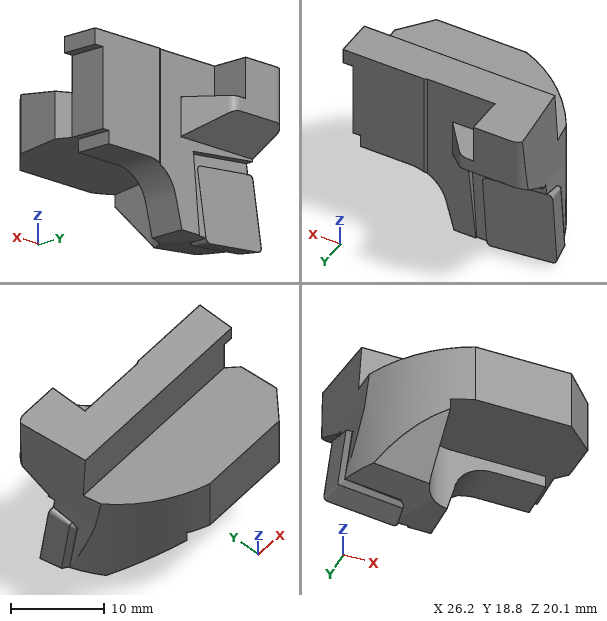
import cadquery as cq
import math

LENGTH = 26.25
DEPTH = 18.8
HEIGHT = 20.05
TRIM_SIZE = 104.95

WALL_FRONT_Y = 9.75
WALL_BACK_Y = 14.17
PAD_BACK_Y = 14.33
PAD_START_X = 15.9
PAD_FULL_X = 16.22
NOTCH_X = 25.03
OVERHANG_Z = 18.2

HEAD_LEFT_X = 1.29
HEAD_TOP_RIGHT_X = 7.53
HEAD_ARC_RIGHT_X = 8.35
HEAD_FOOT_X = 12.78
HEAD_RADIUS = 1.6
HEAD_BOTTOM_Z = 13.8
HEAD_SLOPE = 32.0

FLANGE_LEFT_X = 1.05
FLANGE_FRONT_X = 11.75
FLANGE_TOP_Z = 15.4
FLANGE_BOTTOM_Z = 7.9
TOP_SLOPE = 8.0
BOTTOM_SLOPE = 6.4
FRONT_CHAMFER = 3.3
REAR_CHAMFER_Y = 1.36
SWEEP_MID = (5.25, 4.05)
SWEEP_END_Y = 10.6

BLADE_END_X = 9.3
BLADE_TOP_Z = 11.8
BLADE_BOTTOM_Z = 0.5
BLADE_FOOT_X = 12.6
SCOOP_RADIUS = 3.65
WEB_BOTTOM_Z = 7.5
WEB_ARC_X = 17.9
WEB_ARC_RADIUS = 4.45
WEB_END_X = 24.1
FOOT_ANGLE = 14.0

SIDE_CORNER = (2.65, WALL_FRONT_Y, HEIGHT)
SIDE_PER_Y = -0.108
SIDE_PER_Z = 0.061
SIDE_BEND_FRONT = (8.05, 9.92)
SIDE_BEND_REAR = (13.3, 10.36)
LOW_SIDE_FOOT = (1.1, 10.29, 1.75)

BEVEL_CORNER = (BLADE_END_X, 6.98, 0.75)
BOTTOM_PER_X = -0.11
BOTTOM_PER_Y = -0.055
BEVEL_PER_Y = -1.0

INSERT_SIDE = 8.7
INSERT_CORNER = (-0.05, 13.95, 0.81)
INSERT_TURN = 5.8
INSERT_LEAN = 3.7
INSERT_RADIUS = 0.58
INSERT_BACK_RADIUS = 0.2
INSERT_THICKNESS = 2.62
INSERT_TAPER = 11.0
INSERT_BEVEL_DEPTH = 0.68
INSERT_BEVEL_TAPER = 35.0
POCKET_MARGIN = 1.2
POCKET_DEPTH = 2.1


def half_space(point, normal):
    """Large box on the side of a plane that the normal points to."""
    return cq.Workplane(cq.Plane(point, normal=normal)).rect(TRIM_SIZE, TRIM_SIZE).extrude(TRIM_SIZE)


def normal_of(a, b, c):
    """Normal of the plane through three points."""
    return (cq.Vector(*b) - cq.Vector(*a)).cross(cq.Vector(*c) - cq.Vector(*a))


def make_wall():
    """Upright wall with its notched right end."""
    wall = (
        cq.Workplane("XY").workplane(offset=WEB_BOTTOM_Z)
        .moveTo(HEAD_LEFT_X, WALL_FRONT_Y)
        .lineTo(LENGTH, WALL_FRONT_Y)
        .lineTo(LENGTH, PAD_BACK_Y)
        .lineTo(PAD_FULL_X, PAD_BACK_Y)
        .lineTo(PAD_START_X, WALL_BACK_Y)
        .lineTo(HEAD_LEFT_X, WALL_BACK_Y)
        .close().extrude(HEIGHT - WEB_BOTTOM_Z)
    )
    underside = FLANGE_BOTTOM_Z + WALL_FRONT_Y * math.tan(math.radians(BOTTOM_SLOPE))
    notch = cq.Workplane("XY").box(LENGTH, DEPTH, OVERHANG_Z, centered=False).translate((NOTCH_X, 0, 0))
    below = cq.Workplane("XY").box(LENGTH, DEPTH, underside, centered=False)
    return wall.cut(notch).cut(below)


def make_head():
    """Rear head: a full-height block and a lower gusset, on a sloping underside."""
    run = HEAD_FOOT_X - HEAD_ARC_RIGHT_X
    rise = DEPTH - WALL_BACK_Y
    to_foot = math.atan2(rise - HEAD_RADIUS, run)
    flank = to_foot + math.asin(HEAD_RADIUS / math.hypot(run, rise - HEAD_RADIUS))
    arc_y = DEPTH - HEAD_RADIUS

    def on_right_arc(angle):
        return (HEAD_ARC_RIGHT_X + HEAD_RADIUS * math.sin(angle), arc_y + HEAD_RADIUS * math.cos(angle))

    half = HEAD_RADIUS * math.sqrt(0.5)
    arc_x = HEAD_LEFT_X + HEAD_RADIUS
    head = (
        cq.Workplane("XY")
        .moveTo(HEAD_LEFT_X, WALL_FRONT_Y)
        .lineTo(HEAD_LEFT_X, arc_y)
        .threePointArc((arc_x - half, arc_y + half), (arc_x, DEPTH))
        .lineTo(HEAD_ARC_RIGHT_X, DEPTH)
        .threePointArc(on_right_arc(flank / 2), on_right_arc(flank))
        .lineTo(HEAD_FOOT_X, WALL_BACK_Y)
        .lineTo(HEAD_FOOT_X, WALL_FRONT_Y)
        .close().extrude(HEIGHT)
    )
    above_gusset = (
        cq.Workplane("XY").box(LENGTH, DEPTH, HEIGHT, centered=False)
        .translate((HEAD_TOP_RIGHT_X, 0, FLANGE_TOP_Z))
    )
    slope = math.radians(HEAD_SLOPE)
    below = half_space((0, DEPTH, HEAD_BOTTOM_Z), (0, math.sin(slope), -math.cos(slope)))
    slope_end_z = HEAD_BOTTOM_Z - rise * math.tan(slope)
    low = cq.Workplane("XY").box(LENGTH, WALL_BACK_Y, slope_end_z, centered=False)
    return head.cut(above_gusset).cut(below).cut(low)


def swept_start():
    """Plan outline along the swept front face, from the front face to the left end."""
    return (
        cq.Workplane("XY").moveTo(FLANGE_FRONT_X, 0)
        .threePointArc(SWEEP_MID, (FLANGE_LEFT_X, SWEEP_END_Y))
    )


def make_flange():
    """Plan outline of the flange cut by its sloping top and underside."""
    plan = (
        swept_start()
        .lineTo(NOTCH_X, SWEEP_END_Y)
        .lineTo(NOTCH_X, WALL_FRONT_Y)
        .lineTo(LENGTH, WALL_FRONT_Y - REAR_CHAMFER_Y)
        .lineTo(LENGTH, FRONT_CHAMFER)
        .lineTo(LENGTH - FRONT_CHAMFER, 0)
        .close().extrude(HEIGHT)
    )
    top_drop = SWEEP_END_Y * math.tan(math.radians(TOP_SLOPE))
    bottom_rise = SWEEP_END_Y * math.tan(math.radians(BOTTOM_SLOPE))
    section = (
        cq.Workplane("YZ")
        .polyline([
            (0, FLANGE_BOTTOM_Z), (0, FLANGE_TOP_Z),
            (SWEEP_END_Y, FLANGE_TOP_Z - top_drop), (SWEEP_END_Y, FLANGE_BOTTOM_Z + bottom_rise),
        ])
        .close().extrude(LENGTH)
    )
    return plan.intersect(section)


def make_scoop():
    """Space in front of the web, rounded where the web meets the end of the blade."""
    scoop_y = WALL_FRONT_Y - SCOOP_RADIUS
    scoop_x = BLADE_END_X + SCOOP_RADIUS
    half = SCOOP_RADIUS * math.sqrt(0.5)
    return (
        cq.Workplane("XY")
        .moveTo(LENGTH, WALL_FRONT_Y)
        .lineTo(scoop_x, WALL_FRONT_Y)
        .threePointArc((scoop_x - half, scoop_y + half), (BLADE_END_X, scoop_y))
        .lineTo(BLADE_END_X, -SCOOP_RADIUS)
        .lineTo(LENGTH, -SCOOP_RADIUS)
        .close().extrude(HEIGHT)
    )


def make_blade():
    """Blade and web: plan outline cut to the side profile, then scooped and bevelled."""
    plan = (
        swept_start()
        .lineTo(FLANGE_LEFT_X, WALL_BACK_Y)
        .lineTo(PAD_START_X, WALL_BACK_Y)
        .lineTo(PAD_FULL_X, PAD_BACK_Y)
        .lineTo(WEB_END_X, PAD_BACK_Y)
        .lineTo(WEB_END_X, 0)
        .close().extrude(BLADE_TOP_Z)
    )
    arc_z = WEB_BOTTOM_Z - WEB_ARC_RADIUS

    def on_web_arc(angle):
        turn = math.radians(angle)
        return (WEB_ARC_X - WEB_ARC_RADIUS * math.cos(turn), arc_z + WEB_ARC_RADIUS * math.sin(turn))

    profile = (
        cq.Workplane("XZ")
        .moveTo(0, BLADE_TOP_Z)
        .lineTo(0, BLADE_BOTTOM_Z)
        .lineTo(BLADE_FOOT_X, BLADE_BOTTOM_Z)
        .lineTo(*on_web_arc(FOOT_ANGLE))
        .threePointArc(on_web_arc((FOOT_ANGLE + 90) / 2), (WEB_ARC_X, WEB_BOTTOM_Z))
        .lineTo(WEB_END_X, WEB_BOTTOM_Z)
        .lineTo(WEB_END_X, BLADE_TOP_Z)
        .close().extrude(-DEPTH)
    )
    below_bottom = half_space(BEVEL_CORNER, (BOTTOM_PER_X, BOTTOM_PER_Y, -1))
    below_bevel = half_space(BEVEL_CORNER, (BOTTOM_PER_X, BEVEL_PER_Y, -1))
    return plan.intersect(profile).cut(make_scoop()).cut(below_bottom).cut(below_bevel)


def upper_side_point(y, z):
    """Point of the upper left face at a given Y and Z."""
    corner_x, corner_y, corner_z = SIDE_CORNER
    return (corner_x + SIDE_PER_Y * (y - corner_y) + SIDE_PER_Z * (z - corner_z), y, z)


def make_side_cutter():
    """Space to the left of both the upper and the lower left faces."""
    upper = half_space(SIDE_CORNER, (-1, SIDE_PER_Y, SIDE_PER_Z))
    bend_front = upper_side_point(*SIDE_BEND_FRONT)
    bend_rear = upper_side_point(*SIDE_BEND_REAR)
    lower = half_space(LOW_SIDE_FOOT, normal_of(LOW_SIDE_FOOT, bend_front, bend_rear))
    return upper.intersect(lower)


def place_insert(shape):
    """Turn and lean a shape built on the XZ plane, then move it to the insert corner."""
    return (
        shape
        .rotate((0, 0, 0), (0, 1, 0), INSERT_TURN)
        .rotate((0, 0, 0), (1, 0, 0), INSERT_LEAN)
        .translate(INSERT_CORNER)
    )


def insert_outline(depth, inset, radius):
    """Rounded square at a depth behind the rake face."""
    side = INSERT_SIDE - 2 * inset
    center = INSERT_SIDE / 2
    square = cq.Sketch().rect(side, side).vertices().fillet(radius)
    return square.moved(cq.Location(cq.Vector(center, center, depth)))


def make_insert():
    """Square insert narrowing towards -Y, with a steeper bevel at its small end."""
    back_inset = INSERT_THICKNESS * math.tan(math.radians(INSERT_TAPER))
    bevel_inset = back_inset + INSERT_BEVEL_DEPTH * math.tan(math.radians(INSERT_BEVEL_TAPER))
    rake = insert_outline(0, 0, INSERT_RADIUS)
    back = insert_outline(INSERT_THICKNESS, back_inset, INSERT_BACK_RADIUS)
    end = insert_outline(INSERT_THICKNESS + INSERT_BEVEL_DEPTH, bevel_inset, INSERT_BACK_RADIUS)
    body = cq.Workplane("XZ").placeSketch(rake, back).loft()
    bevel = cq.Workplane("XZ").placeSketch(back, end).loft()
    return place_insert(body.union(bevel))


def make_pocket_mouth():
    """Clearance in front of the rake face, open to the rear."""
    width = INSERT_SIDE + 2 * POCKET_MARGIN
    center = INSERT_SIDE / 2
    mouth = cq.Workplane("XZ").center(center, center).rect(width, width).extrude(-POCKET_DEPTH)
    return place_insert(mouth)


insert = make_insert()
holder = (
    make_wall()
    .union(make_head())
    .union(make_flange())
    .union(make_blade())
    .cut(make_side_cutter())
    .cut(make_pocket_mouth())
    .cut(insert)
)

result = cq.Compound.makeCompound([holder.val(), insert.val()])